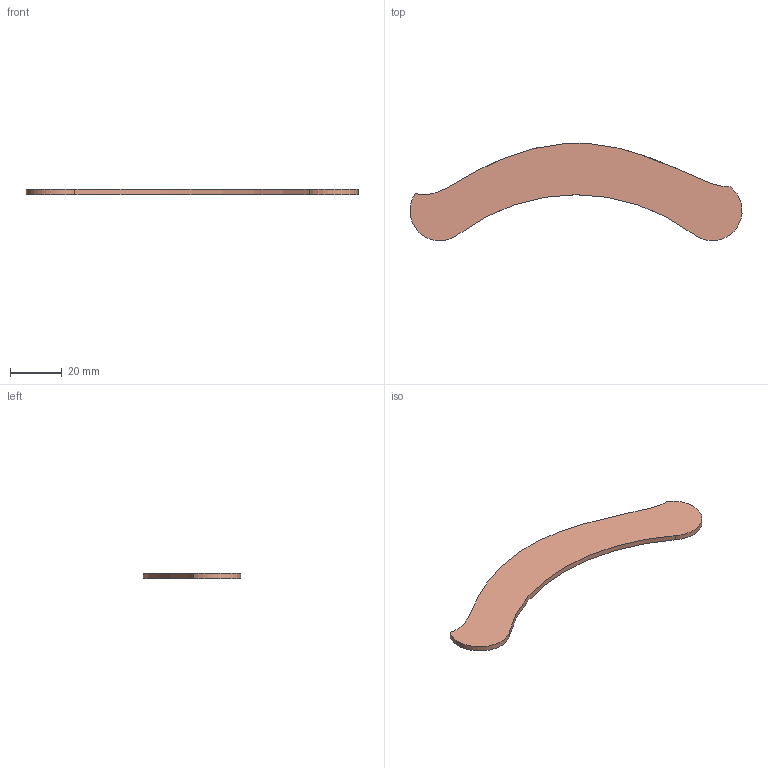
import cadquery as cq
import math

length = 128.24
depth = 37.63
thickness = 2.0

lobe_radius = 11.6
lobe_x = length / 2 - lobe_radius
lobe_y = lobe_radius

lower_end_x = 45.2
lower_crown_y = 17.75

left_corner_angle = 145.0
right_corner_angle = 53.0

left_outer_angle = 225.0
right_outer_angle = -45.0

crown_x = 1.5
upper_left_points = [
    (-59.0, 17.75),
    (-52.5, 19.15),
    (-41.0, 25.45),
    (-29.5, 31.15),
    (-15.5, 35.75),
]
upper_right_points = [
    (17.0, 35.6),
    (31.0, 31.1),
    (45.0, 25.05),
    (54.5, 21.4),
]
upper_points = upper_left_points + [(crown_x, depth)] + upper_right_points


def on_lobe(side, angle):
    """Point on the end lobe: side is -1 for the left lobe, +1 for the right."""
    a = math.radians(angle)
    return (side * lobe_x + lobe_radius * math.cos(a), lobe_y + lobe_radius * math.sin(a))


def lower_end(side):
    """Point on the lobe where the lower arc starts."""
    inward = lobe_x - lower_end_x
    return (side * lower_end_x, lobe_y - math.sqrt(lobe_radius**2 - inward**2))


left_corner = on_lobe(-1, left_corner_angle)
right_corner = on_lobe(1, right_corner_angle)
left_lobe_outer = on_lobe(-1, left_outer_angle)
right_lobe_outer = on_lobe(1, right_outer_angle)

outline = (
    cq.Workplane("XY")
    .moveTo(*left_corner)
    .spline(upper_points + [right_corner], includeCurrent=True)
    .threePointArc(right_lobe_outer, lower_end(1))
    .threePointArc((0, lower_crown_y), lower_end(-1))
    .threePointArc(left_lobe_outer, left_corner)
    .close()
)

result = outline.extrude(thickness)